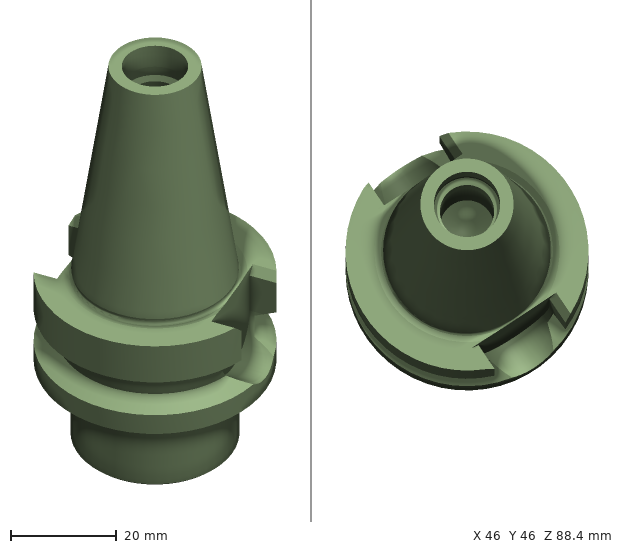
import cadquery as cq
import math

total_height = 88.4
flange_bottom = 18.0
lower_rim_top = 22.5
upper_rim_bottom = 30.4
flange_top = 39.1
taper_bottom = 40.05

shank_radius = 32.0 / 2
shank_chamfer = 0.5
flange_radius = 46.0 / 2
groove_radius = 18.8
lower_wall_height = 1.9
upper_wall_height = 2.2
neck_radius = 31.1 / 2
recess_radius = 17.5
recess_depth = 0.35
neck_fillet = 0.7
taper_large_radius = 31.7 / 2
taper_ratio = 7 / 24

bore_radius = 12.55 / 2
bore_depth = 5.0
relief_radius = 12.9 / 2
relief_height = 2.1
drill_radius = 10.25 / 2
drill_depth = 23.9
drill_point_angle = 140.0

slot_width = 16.1
slot_bottom = 21.0
slot_floor = 16.0
slot_chamfer = 1.6


def revolve_outline(outline):
    """Turn a closed outline, drawn as radius and height, about the Z axis."""
    return outline.revolve(360, (0, 0, 0), (0, 1, 0))


def make_body():
    """Shank, V-grooved flange, recessed neck and steep taper."""
    recess_bottom = flange_top - recess_depth
    fillet_top = recess_bottom + neck_fillet
    fillet_outer_radius = neck_radius + neck_fillet
    arc_inset = neck_fillet * (1 - math.sqrt(0.5))
    taper_length = total_height - taper_bottom
    taper_small_radius = taper_large_radius - taper_length * taper_ratio / 2
    outline = (
        cq.Workplane("XZ")
        .moveTo(0, 0)
        .lineTo(shank_radius - shank_chamfer, 0)
        .lineTo(shank_radius, shank_chamfer)
        .lineTo(shank_radius, flange_bottom)
        .lineTo(flange_radius, flange_bottom)
        .lineTo(flange_radius, lower_rim_top)
        .lineTo(groove_radius, lower_rim_top + lower_wall_height)
        .lineTo(groove_radius, upper_rim_bottom - upper_wall_height)
        .lineTo(flange_radius, upper_rim_bottom)
        .lineTo(flange_radius, flange_top)
        .lineTo(recess_radius, flange_top)
        .lineTo(fillet_outer_radius, recess_bottom)
        .threePointArc(
            (neck_radius + arc_inset, recess_bottom + arc_inset),
            (neck_radius, fillet_top),
        )
        .lineTo(neck_radius, taper_bottom)
        .lineTo(taper_large_radius, taper_bottom)
        .lineTo(taper_small_radius, total_height)
        .lineTo(0, total_height)
        .close()
    )
    return revolve_outline(outline)


def make_socket():
    """Stepped blind hole with a relief ring, a conical ledge and a drill point."""
    bore_bottom = total_height - bore_depth
    relief_bottom = bore_bottom - relief_height
    drill_bottom = total_height - drill_depth
    cone_slope = 1 / math.tan(math.radians(drill_point_angle / 2))
    ledge_height = (relief_radius - drill_radius) * cone_slope
    point_height = drill_radius * cone_slope
    outline = (
        cq.Workplane("XZ")
        .moveTo(0, total_height)
        .lineTo(bore_radius, total_height)
        .lineTo(bore_radius, bore_bottom)
        .lineTo(relief_radius, bore_bottom)
        .lineTo(relief_radius, relief_bottom)
        .lineTo(drill_radius, relief_bottom - ledge_height)
        .lineTo(drill_radius, drill_bottom)
        .lineTo(0, drill_bottom - point_height)
        .close()
    )
    return revolve_outline(outline)


def make_slot(side):
    """Round-bottomed drive slot with a chamfered mouth; side is +1 or -1 along X."""
    half_width = slot_width / 2
    arc_center = slot_bottom + half_width
    chamfer_start = flange_top - slot_chamfer
    mouth_half_width = half_width + slot_chamfer
    slot_depth = flange_radius - slot_floor
    return (
        cq.Workplane("YZ")
        .workplane(offset=side * slot_floor)
        .moveTo(-half_width, arc_center)
        .threePointArc((0, slot_bottom), (half_width, arc_center))
        .lineTo(half_width, chamfer_start)
        .lineTo(mouth_half_width, flange_top)
        .lineTo(-mouth_half_width, flange_top)
        .lineTo(-half_width, chamfer_start)
        .close()
        .extrude(side * slot_depth)
    )


result = make_body().cut(make_socket())
for slot_side in (-1, 1):
    result = result.cut(make_slot(slot_side))